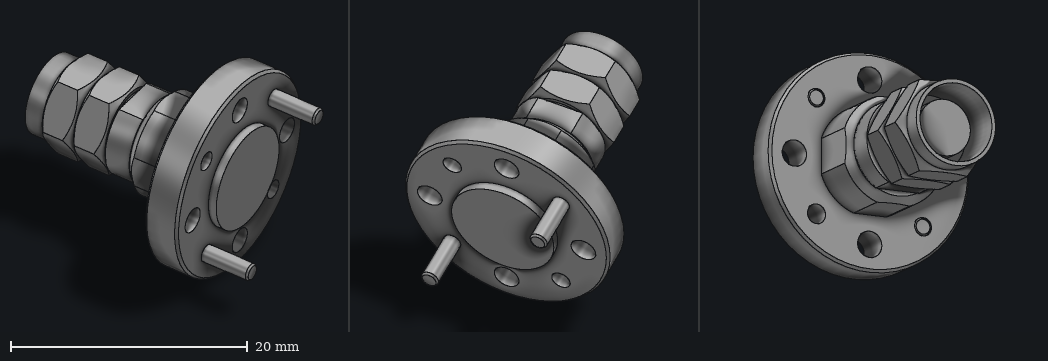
import cadquery as cq
import math

sleeve_radius = 3.77
sleeve_length = 1.75
bore_radius = 3.4
hex_across_flats = 7.93
hex_length = 3.2
hex_sides = 6
hex_count = 2
hex_chamfer_length = 0.6
neck_radius = 3.45
neck_length = 0.3
plug_radius = 2.45
plug_recess = 2.14

collar_radius = 4.15
collar_length = 2.43
collar_across_flats = 7.2
hub_radius = 4.85
hub_length = 5.16
hub_across_flats = 9.2
hub_chamfer = 0.8
flange_radius = 19.05 / 2
flange_thickness = 3.31
flange_chamfer = 0.25
boss_radius = 4.75
boss_height = 0.8

bolt_circle_radius = 14.3 / 2
screw_hole_radius = 2.28 / 2
guide_hole_radius = 1.7 / 2
pin_radius = 0.8
screw_hole_angles = (0, 90, 180, 270)
guide_hole_angles = (135, 315)
pin_angles = (45, 225)
pin_chamfer_length = 0.2
pin_chamfer_depth = 0.15
overall_length = 24.02

hex_corner_radius = hex_across_flats / 2 / math.cos(math.pi / hex_sides)
bore_depth = sleeve_length + hex_length
neck_start = sleeve_length + hex_count * hex_length
body_start = neck_start + neck_length
hub_start = body_start + collar_length
flange_start = hub_start + hub_length
flange_end = flange_start + flange_thickness
pin_length = overall_length - flange_start


def cylinder(start, length, radius):
    """Solid cylinder on the X axis."""
    return cq.Workplane("YZ", origin=(start, 0, 0)).circle(radius).extrude(length)


def square_bar(width, height):
    """Long bar along the X axis whose sides cut parallel flats on a round section."""
    return cq.Workplane("XY").box(2 * overall_length, width, height)


def bolt_circle_point(angle):
    """Y and Z of a place on the bolt circle, the angle measured from +Y toward +Z."""
    a = math.radians(angle)
    return (bolt_circle_radius * math.cos(a), bolt_circle_radius * math.sin(a))


def bolt_holes(radius, angles):
    """Cutters through the flange at the given angles on the bolt circle."""
    return (
        cq.Workplane("YZ", origin=(flange_start, 0, 0))
        .pushPoints([bolt_circle_point(angle) for angle in angles])
        .circle(radius)
        .extrude(flange_thickness)
    )


def hex_section(start):
    """Hexagon with flats facing +Z and -Z, its corners turned to a cone at both ends."""
    end = start + hex_length
    prism = (
        cq.Workplane("YZ", origin=(start, 0, 0))
        .polygon(hex_sides, 2 * hex_corner_radius)
        .extrude(hex_length)
    )
    envelope = (
        cq.Workplane("XY")
        .polyline([
            (start, 0),
            (start, sleeve_radius),
            (start + hex_chamfer_length, hex_corner_radius),
            (end - hex_chamfer_length, hex_corner_radius),
            (end, sleeve_radius),
            (end, 0),
        ])
        .close()
        .revolve(360, (0, 0, 0), (1, 0, 0))
    )
    return prism.intersect(envelope)


def make_connector():
    """Sleeve, hexagons and neck in one piece, with an annular bore around the plug."""
    connector = cylinder(0, sleeve_length, sleeve_radius)
    for i in range(hex_count):
        connector = connector.union(hex_section(sleeve_length + i * hex_length))
    connector = connector.union(cylinder(neck_start, neck_length, neck_radius))
    bore = cylinder(0, bore_depth, bore_radius)
    plug = cylinder(plug_recess, bore_depth - plug_recess, plug_radius)
    return connector.cut(bore.cut(plug))


def make_collar():
    """Round collar with two flats, facing +Z and -Z."""
    collar = cylinder(body_start, collar_length, collar_radius)
    return collar.intersect(square_bar(2 * collar_radius, collar_across_flats))


def make_hub():
    """Round hub with a chamfered front rim and four flats."""
    hub = cylinder(hub_start, hub_length, hub_radius).faces("<X").chamfer(hub_chamfer)
    return hub.intersect(square_bar(hub_across_flats, hub_across_flats))


def make_flange_body():
    """Collar, hub, flange and rear boss in one piece, with the bolt-circle holes."""
    flange = cylinder(flange_start, flange_thickness, flange_radius)
    flange = flange.faces("<X or >X").chamfer(flange_chamfer)
    boss = cylinder(flange_end, boss_height, boss_radius)
    body = make_collar().union(make_hub()).union(flange).union(boss)
    body = body.cut(bolt_holes(screw_hole_radius, screw_hole_angles))
    body = body.cut(bolt_holes(guide_hole_radius, guide_hole_angles))
    return body.cut(bolt_holes(pin_radius, pin_angles))


def make_pin(angle):
    """Guide pin, flush with the front of the flange and chamfered at both ends."""
    return (
        cq.Workplane("YZ", origin=(flange_start, 0, 0))
        .center(*bolt_circle_point(angle))
        .circle(pin_radius)
        .extrude(pin_length)
        .faces("<X or >X")
        .edges()
        .chamfer(pin_chamfer_length, pin_chamfer_depth)
    )


connector = make_connector()
flange_body = make_flange_body()
pins = [make_pin(angle) for angle in pin_angles]

result = cq.Compound.makeCompound([connector.val(), flange_body.val(), *[pin.val() for pin in pins]])